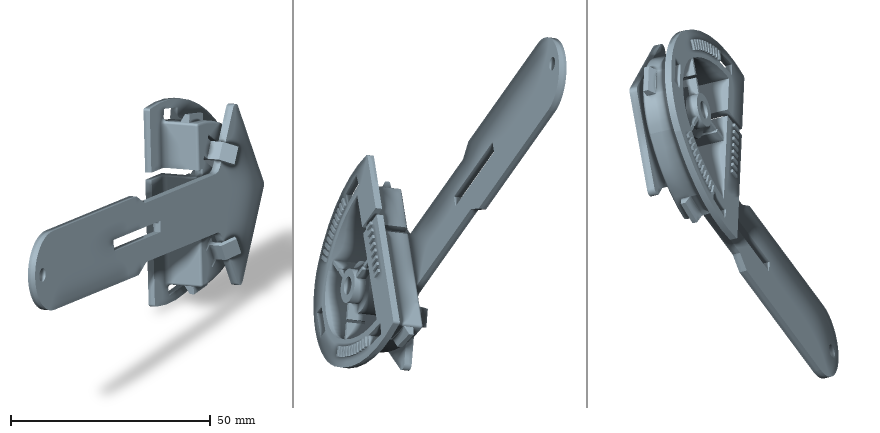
import cadquery as cq
import math


hub_origin = cq.Vector(5.1, 44.3, -0.8)
arm_direction = cq.Vector(0.063, -1, 0.119)
across_hint = cq.Vector(-0.1, 0.11, 1)
front_normal = arm_direction.cross(across_hint)

arm_thickness = 2.0
arm_width = 15.1
paddle_width = 20.2
arm_reach = 108.9
neck_end = 49.3
paddle_start = 53.6
eye_x = 105.0
eye_diameter = 3.5
slot_start = 41.4
slot_length = 25.2
slot_width = 3.0
head_edge_angle = 60
head_front_offset = 12.0
head_rear_offset = 12.8
head_tip_radius = 1.5
head_root_radius = 3.2

boss_height = 0.5
housing_back = arm_thickness + boss_height
floor_thickness = 2.3
floor_level = housing_back + floor_thickness
front_level = 14.3
flange_thickness = 1.8
flange_back = front_level - flange_thickness
step_level = 11.0
hub_recess = 0.3
hub_level = front_level - hub_recess
rib_recess = 0.8
rib_level = front_level - rib_recess

side_center_x = 14.7
side_center_y = 17.2
side_center_distance = math.hypot(side_center_x, side_center_y)
flange_nose_radius = 20.5
flange_end = 22.0
flange_corner_radius = 0.6
wall_thickness = 2.2
box_nose_radius = 15.6
box_end = 15.3
pocket_nose_radius = box_nose_radius - wall_thickness
pocket_end = box_end - wall_thickness
root_fillet = 1.0
box_edge_fillet = 0.6
nose_lift = 1.5

hub_radius = 4.3
step_radius = 6.6
bore_diameter = 4.6
rib_width = 0.9
rib_angles = (0, 120, 240)
notch_inner = 8.4
notch_outer = 9.2
notch_depth = 4.9

slit_bottom = 7.2
slit_width = 1.9

snap_length = 7.4
snap_rise = 2.2
snap_back = 5.2
snap_tip_width = 1.3
snap_ramp = 1.3
snap_opening_width = 3.1
side_snap_x = 11.1
side_snap_tilt = 8
side_snap_base = 20.4
nose_snap_recess = 0.4
nose_snap_base = box_nose_radius - nose_snap_recess

ridge_height = 0.6
ridge_width = 0.9
ridge_length = 2.7
arc_ridge_count = 11
arc_ridge_radius = 39.2
arc_ridge_first_angle = 102.8
arc_ridge_span = 24.4
straight_ridge_count = 8
straight_ridge_x = 17.8
straight_ridge_top = 6.4
straight_ridge_pitch = 2.0

hook_angle = 30
hook_center = 6.9
hook_width = 4.7
hook_inner = 13.2
hook_thickness = 1.1
hook_outer = hook_inner + hook_thickness
hook_lip = 2.7
hook_bend = 45
window_inner = 9.8
window_outer = 16.3
window_width = 6.8


def nose_outline(nose_radius, end):
    """D-shaped outline with its nose at -x and its straight end at x = end."""
    side_radius = nose_radius + side_center_distance
    join_x = -nose_radius * side_center_x / side_center_distance
    join_y = nose_radius * side_center_y / side_center_distance
    middle_x = (join_x + end) / 2

    def side_y(x):
        return math.sqrt(side_radius ** 2 - (x - side_center_x) ** 2) - side_center_y

    return (
        cq.Workplane("XY")
        .moveTo(end, -side_y(end))
        .lineTo(end, side_y(end))
        .threePointArc((middle_x, side_y(middle_x)), (join_x, join_y))
        .threePointArc((-nose_radius, 0), (join_x, -join_y))
        .threePointArc((middle_x, -side_y(middle_x)), (end, -side_y(end)))
        .close()
    )


def block(x_min, x_max, y_min, y_max, z_min, z_max):
    return cq.Workplane("XY").box(
        x_max - x_min, y_max - y_min, z_max - z_min, centered=False
    ).translate((x_min, y_min, z_min))


def cylinder(radius, z_min, z_max):
    return cq.Workplane("XY").workplane(offset=z_min).circle(radius).extrude(z_max - z_min)


def about_hub(shape, angle):
    return shape.rotate((0, 0, 0), (0, 0, 1), angle)


def make_arm():
    paddle_radius = paddle_width / 2
    tip_center = arm_reach - paddle_radius
    blade = (
        cq.Workplane("XY")
        .moveTo(0, -arm_width / 2)
        .lineTo(neck_end, -arm_width / 2)
        .lineTo(paddle_start, -paddle_radius)
        .lineTo(tip_center, -paddle_radius)
        .threePointArc((arm_reach, 0), (tip_center, paddle_radius))
        .lineTo(paddle_start, paddle_radius)
        .lineTo(neck_end, arm_width / 2)
        .lineTo(0, arm_width / 2)
        .close()
        .extrude(arm_thickness)
    )

    edge_sine = math.sin(math.radians(head_edge_angle))
    edge_cosine = math.cos(math.radians(head_edge_angle))
    head_top = (
        (head_front_offset - head_rear_offset) / (2 * edge_sine),
        (head_front_offset + head_rear_offset) / (2 * edge_cosine),
    )
    head = (
        cq.Workplane("XY")
        .polyline([
            (head_front_offset / edge_sine, 0),
            head_top,
            (-head_rear_offset / edge_sine, 0),
            (head_top[0], -head_top[1]),
        ])
        .close()
        .extrude(arm_thickness)
        .edges("|Z")
        .fillet(head_tip_radius)
    )

    slot = block(
        slot_start, slot_start + slot_length, -slot_width / 2, slot_width / 2, 0, arm_thickness
    )
    eye = cylinder(eye_diameter / 2, 0, arm_thickness).translate((eye_x, 0, 0))
    blank = blade.union(head)

    root_x = (head_front_offset - arm_width / 2 * edge_cosine) / edge_sine
    for root_y in (-arm_width / 2, arm_width / 2):
        corner = cq.selectors.NearestToPointSelector((root_x, root_y, arm_thickness / 2))
        blank = blank.edges("|Z").edges(corner).fillet(head_root_radius)
    return blank.cut(slot).cut(eye)


def make_snap():
    """Wedge on a wall at x = 0, rising toward +x, with its ramp on the front side."""
    ramp_start = snap_back + snap_tip_width + snap_ramp
    return (
        cq.Workplane("XZ")
        .polyline([
            (-wall_thickness / 2, snap_back),
            (snap_rise, snap_back),
            (snap_rise, snap_back + snap_tip_width),
            (0, ramp_start),
            (-wall_thickness / 2, ramp_start),
        ])
        .close()
        .extrude(snap_length / 2, both=True)
    )


def make_snap_opening():
    return block(
        0, snap_opening_width, -snap_length / 2, snap_length / 2,
        snap_back + snap_tip_width + snap_ramp, front_level,
    )


def at_snap_places(shape):
    """Copies of a shape at the nose snap and at the two side snaps."""
    upper = about_hub(shape, 90 + side_snap_tilt).translate((side_snap_x, side_snap_base, 0))
    return [
        about_hub(shape, 180).translate((-nose_snap_base, 0, 0)),
        upper,
        upper.mirror("XZ"),
    ]


def make_hook():
    """Leg with a lip bent toward the hub, set along +x."""
    lip_x = hook_inner - hook_lip
    lip_drop = hook_lip / math.tan(math.radians(hook_bend))
    lip_offset = hook_thickness * math.cos(math.radians(hook_bend))
    outer_bend = -hook_thickness * math.tan(math.radians(hook_bend / 2))
    return (
        cq.Workplane("XZ")
        .polyline([
            (hook_outer, floor_level),
            (hook_inner, floor_level),
            (hook_inner, 0),
            (lip_x, -lip_drop),
            (lip_x + lip_offset, -lip_drop - lip_offset),
            (hook_outer, outer_bend),
        ])
        .close()
        .extrude(hook_width / 2, both=True)
        .translate((0, hook_center, 0))
    )


def make_hook_window():
    """Opening in the floor around a hook, leaving the strip that carries the hook."""
    window = block(
        window_inner, window_outer,
        hook_center - window_width / 2, hook_center + window_width / 2,
        housing_back, floor_level,
    )
    strip = block(
        hook_inner, window_outer,
        hook_center - hook_width / 2, hook_center + hook_width / 2,
        housing_back, floor_level,
    )
    return window.cut(strip)


def make_ridges():
    """Two rows of ridges along the side arcs and one row along the straight end."""
    ridges = []
    for index in range(arc_ridge_count):
        angle = arc_ridge_first_angle + index * arc_ridge_span / (arc_ridge_count - 1)
        ridge = cq.Workplane("XY").box(ridge_length, ridge_width, 2 * ridge_height)
        ridge = about_hub(ridge.translate((arc_ridge_radius, 0, front_level)), angle)
        ridge = ridge.translate((side_center_x, -side_center_y, 0))
        ridges += [ridge, ridge.mirror("XZ")]
    for index in range(straight_ridge_count):
        ridge_y = straight_ridge_top - index * straight_ridge_pitch
        ridge = cq.Workplane("XY").box(ridge_length, ridge_width, 2 * ridge_height)
        ridges.append(ridge.translate((straight_ridge_x, ridge_y, front_level)))
    return ridges


def make_shell():
    """Flange and hollow box; the back of the box slopes up toward the nose."""
    slope_wedge = (
        cq.Workplane("XZ")
        .polyline([
            (box_end, housing_back),
            (-box_nose_radius, housing_back + nose_lift),
            (-box_nose_radius, housing_back),
        ])
        .close()
        .extrude(flange_nose_radius * 2, both=True)
    )
    box = (
        nose_outline(box_nose_radius, box_end)
        .extrude(flange_back - housing_back)
        .edges("|Z and >X")
        .fillet(box_edge_fillet)
        .translate((0, 0, housing_back))
        .cut(slope_wedge)
        .faces("<Z")
        .edges()
        .fillet(box_edge_fillet)
    )
    flange = (
        nose_outline(flange_nose_radius, flange_end)
        .extrude(flange_thickness)
        .edges("|Z and >X")
        .fillet(flange_corner_radius)
        .translate((0, 0, flange_back))
    )
    shell = box.union(flange)

    band = flange_thickness / 4
    flange_rear = shell.faces(
        cq.selectors.BoxSelector(
            (-flange_nose_radius, -flange_nose_radius, flange_back - band),
            (flange_end, flange_nose_radius, flange_back + band),
        )
    )
    root_edges = flange_rear.val().innerWires()[0].Edges()
    shell = shell.newObject(root_edges).fillet(root_fillet)

    pocket = nose_outline(pocket_nose_radius, pocket_end).extrude(front_level - floor_level)
    return shell.cut(pocket.translate((0, 0, floor_level)))


def make_housing():
    housing = make_shell()

    housing = housing.union(cylinder(step_radius, arm_thickness, step_level))
    housing = housing.union(cylinder(hub_radius, arm_thickness, hub_level))
    rib_envelope = (
        nose_outline(box_nose_radius - wall_thickness / 2, box_end - wall_thickness / 2)
        .extrude(front_level)
    )
    for angle in rib_angles:
        rib = block(0, flange_end, -rib_width / 2, rib_width / 2, floor_level, rib_level)
        housing = housing.union(about_hub(rib, angle).intersect(rib_envelope))
    notch = cylinder(notch_outer, rib_level - notch_depth, rib_level)
    housing = housing.cut(notch.cut(cylinder(notch_inner, rib_level - notch_depth, rib_level)))
    housing = housing.cut(cylinder(bore_diameter / 2, arm_thickness, front_level))

    slit = block(pocket_end, flange_end, slit_bottom, slit_bottom + slit_width, housing_back, front_level)
    housing = housing.cut(slit)

    for snap in at_snap_places(make_snap()):
        housing = housing.union(snap)
    for opening in at_snap_places(make_snap_opening()):
        housing = housing.cut(opening)

    for ridge in make_ridges():
        housing = housing.union(ridge)

    for mirrored in (False, True):
        window = about_hub(make_hook_window(), hook_angle)
        hook = about_hub(make_hook(), hook_angle)
        if mirrored:
            window = window.mirror("XZ")
            hook = hook.mirror("XZ")
        housing = housing.cut(window).union(hook)
    return housing


placement = cq.Location(cq.Plane(hub_origin, arm_direction, front_normal))
arm = make_arm().val().moved(placement)
housing = make_housing().val().moved(placement)
result = cq.Compound.makeCompound([*arm.Solids(), *housing.Solids()])